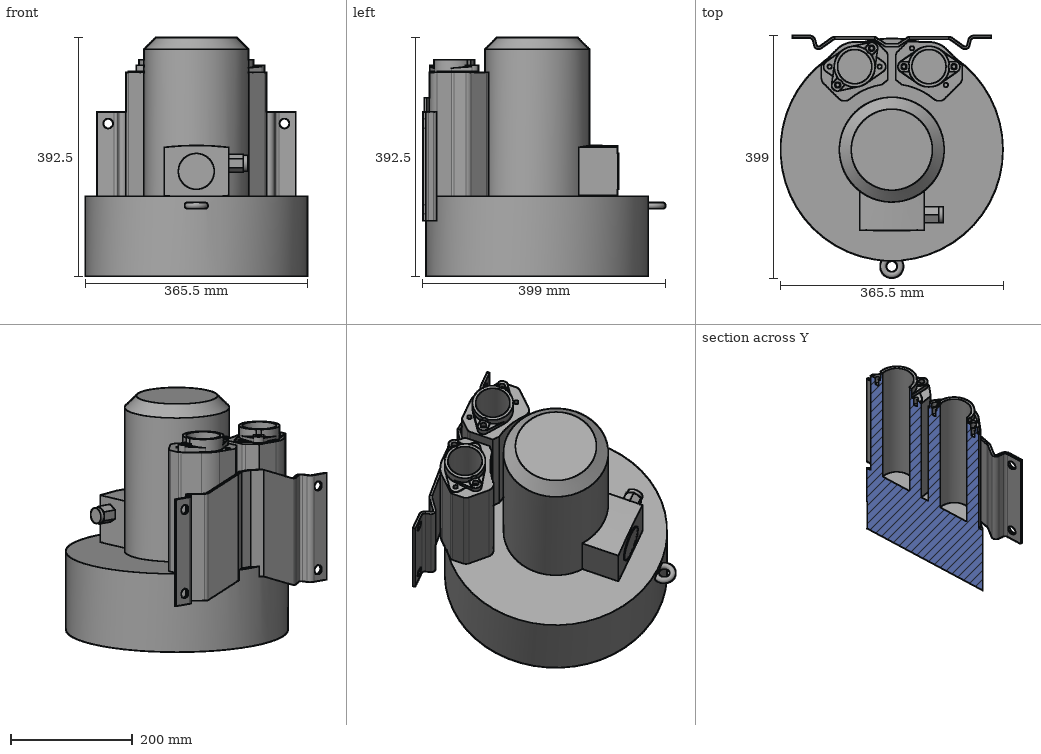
import cadquery as cq
import math


HOUSING_DIAMETER = 365.5
HOUSING_HEIGHT = 131.5
MOTOR_RADIUS = 86.0
MOTOR_TOP = 392.5
MOTOR_CHAMFER = 19.5

BOX_WIDTH = 106.0
BOX_SIDE_HEIGHT = 79.0
BOX_CROWN = 3.0
BOX_CENTRE_Z = 172.3
BOX_FRONT_Y = -132.0
COVER_DIAMETER = 59.0
COVER_THICKNESS = 1.5

GLAND_Y = -107.0
GLAND_Z = 185.5
GLAND_DIAMETER = 26.0
GLAND_HEX_LENGTH = 24.0
GLAND_COLLAR_LENGTH = 7.0

EYE_RADIUS = 14.0
EYE_WIRE_DIAMETER = 10.8
EYE_Y = -191.8
EYE_Z = 116.0

PORT_X = 61.0
PORT_Y = 136.5
TOWER_TOP = 335.0
TOWER_INNER_X = 6.8
TOWER_OUTER_X = 115.5
TOWER_BACK_RADIUS = 40.5
TOWER_BACK_CORNER_X = 25.5
TOWER_BACK_BEVEL = 18.7
TOWER_SIDE_END_Y = 112.5
TOWER_FRONT_RADIUS = 108.0
TOWER_BEVEL_START_Y = 114.5
TOWER_BEVEL_END_X = 16.5
TOWER_FRONT_FILLET = 13.0
TOWER_SIDE_FILLET = 12.0
TOWER_SHOULDER_FILLET = 6.0
TOWER_INNER_FILLET = 8.0

BORE_DIAMETER = 56.2
NECK_RADIUS = 33.5
NECK_TOP = 355.5
GASKET_THICKNESS = 1.5
LUG_DISTANCE = 41.0
LUG_RADIUS = 10.0
LUG_TOP = 347.0
LUG_PAD_WIDTH = 16.7
FLANK_RIDGE_Z = 344.0
FLANK_SLOPE = 7.0
LUG_HOLE_DIAMETER = 9.5
BOLT_CLEARANCE_DIAMETER = 18.0
TAPPED_HOLE_DIAMETER = 7.0
TAPPED_HOLE_DEPTH = 12.0
TILTED_FLANGE_ANGLE = 47.3

SHEET = 4.5
BRACKET_BOTTOM = 91.0
BRACKET_SIDE_TOP = 270.0
BRACKET_CENTRE_RISE = 23.5
BRACKET_CENTRE_TOP = BRACKET_SIDE_TOP + BRACKET_CENTRE_RISE
BRACKET_HOLE_X = 144.7
BRACKET_HOLE_INSET = 19.0
BRACKET_HOLE_DIAMETER = 15.5
WING_END_X = 163.5
WING_Y = 185.5
WING_BEND_X = 129.0
VALLEY_X = 123.5
VALLEY_Y = 163.5
PLATE_BEND_X = 95.7
PLATE_OUTER_X = 93.5
PLATE_INNER_X = 28.5
PLATE_Y = 183.5
DIP_X = 10.5
DIP_Y = 171.5
WING_BEND_RADIUS = 5.5
VALLEY_BEND_RADIUS = 3.0
PLATE_BEND_RADIUS = 6.0


def cylinder(radius, bottom, top, x=0, y=0):
    return cq.Workplane("XY", origin=(x, y, bottom)).circle(radius).extrude(top - bottom)


def mirror_x(points):
    """The same points on the -X side, in reverse order."""
    return [(-x, y) for x, y in reversed(points)]


def make_terminal_box():
    half_width = BOX_WIDTH / 2
    half_side = BOX_SIDE_HEIGHT / 2
    half_middle = half_side + BOX_CROWN
    box = (
        cq.Workplane("XZ", origin=(0, 0, BOX_CENTRE_Z))
        .moveTo(-half_width, -half_side)
        .threePointArc((0, -half_middle), (half_width, -half_side))
        .lineTo(half_width, half_side)
        .threePointArc((0, half_middle), (-half_width, half_side))
        .close()
        .extrude(-BOX_FRONT_Y)
    )
    cover = (
        cq.Workplane("XZ", origin=(0, BOX_FRONT_Y, BOX_CENTRE_Z))
        .circle(COVER_DIAMETER / 2)
        .extrude(COVER_THICKNESS)
    )
    return box.union(cover)


def make_cable_gland():
    corner_diameter = GLAND_DIAMETER / math.cos(math.pi / 6)
    nut = (
        cq.Workplane("YZ", origin=(BOX_WIDTH / 2, GLAND_Y, GLAND_Z))
        .transformed(rotate=(0, 0, 90))
        .polygon(6, corner_diameter)
        .extrude(GLAND_HEX_LENGTH)
    )
    return nut.faces(">X").workplane().circle(GLAND_DIAMETER / 2).extrude(GLAND_COLLAR_LENGTH)


def make_lifting_eye():
    ring = cq.Solid.makeTorus(EYE_RADIUS, EYE_WIRE_DIAMETER / 2, cq.Vector(0, EYE_Y, EYE_Z))
    return cq.Workplane(ring)


def make_tower():
    """Solid tower with a round back, 45 degree shoulders and a front face hollowed around the motor."""
    back_y = PORT_Y + TOWER_BACK_RADIUS
    diagonal = TOWER_BACK_RADIUS * math.sqrt(0.5)
    shoulder_y = PORT_Y + 2 * diagonal - (TOWER_OUTER_X - PORT_X)
    arc_middle = (
        PORT_X + TOWER_BACK_RADIUS * math.sin(math.pi / 8),
        PORT_Y + TOWER_BACK_RADIUS * math.cos(math.pi / 8),
    )

    offset = TOWER_OUTER_X - TOWER_SIDE_END_Y
    front_x = (offset + math.sqrt(2 * TOWER_FRONT_RADIUS**2 - offset**2)) / 2
    front_y = front_x - offset
    bevel_end_y = math.sqrt(TOWER_FRONT_RADIUS**2 - TOWER_BEVEL_END_X**2)
    middle_angle = (math.atan2(front_y, front_x) + math.atan2(bevel_end_y, TOWER_BEVEL_END_X)) / 2
    front_middle = (
        TOWER_FRONT_RADIUS * math.cos(middle_angle),
        TOWER_FRONT_RADIUS * math.sin(middle_angle),
    )
    inner_back_y = back_y - TOWER_BACK_BEVEL

    tower = (
        cq.Workplane("XY", origin=(0, 0, HOUSING_HEIGHT))
        .moveTo(TOWER_BACK_CORNER_X, back_y)
        .lineTo(PORT_X, back_y)
        .threePointArc(arc_middle, (PORT_X + diagonal, PORT_Y + diagonal))
        .lineTo(TOWER_OUTER_X, shoulder_y)
        .lineTo(TOWER_OUTER_X, TOWER_SIDE_END_Y)
        .lineTo(front_x, front_y)
        .threePointArc(front_middle, (TOWER_BEVEL_END_X, bevel_end_y))
        .lineTo(TOWER_INNER_X, TOWER_BEVEL_START_Y)
        .lineTo(TOWER_INNER_X, inner_back_y)
        .close()
        .extrude(TOWER_TOP - HOUSING_HEIGHT)
    )
    corner_fillets = [
        (TOWER_OUTER_X, shoulder_y, TOWER_SHOULDER_FILLET),
        (TOWER_OUTER_X, TOWER_SIDE_END_Y, TOWER_SIDE_FILLET),
        (front_x, front_y, TOWER_FRONT_FILLET),
        (TOWER_INNER_X, inner_back_y, TOWER_INNER_FILLET),
    ]
    return fillet_upright_edges(tower, corner_fillets, (HOUSING_HEIGHT + TOWER_TOP) / 2)


def fillet_upright_edges(body, corners, middle_z):
    for x, y, radius in corners:
        body = body.edges("|Z").edges(cq.NearestToPointSelector((x, y, middle_z))).fillet(radius)
    return body


def make_lug_plate(bottom, top):
    """Plate around the port with a pointed lug at each end of its X axis."""
    tangent = math.acos((NECK_RADIUS - LUG_RADIUS) / LUG_DISTANCE)
    middle_x = NECK_RADIUS * math.cos(tangent)
    middle_y = NECK_RADIUS * math.sin(tangent)
    end_x = LUG_DISTANCE + LUG_RADIUS * math.cos(tangent)
    end_y = LUG_RADIUS * math.sin(tangent)
    tip_x = LUG_DISTANCE + LUG_RADIUS
    return (
        cq.Workplane("XY", origin=(0, 0, bottom))
        .moveTo(middle_x, middle_y)
        .lineTo(end_x, end_y)
        .threePointArc((tip_x, 0), (end_x, -end_y))
        .lineTo(middle_x, -middle_y)
        .threePointArc((0, -NECK_RADIUS), (-middle_x, -middle_y))
        .lineTo(-end_x, -end_y)
        .threePointArc((-tip_x, 0), (-end_x, end_y))
        .lineTo(-middle_x, middle_y)
        .threePointArc((0, NECK_RADIUS), (middle_x, middle_y))
        .close()
        .extrude(top - bottom)
    )


def make_lug_cylinders(radius, bottom, top):
    return cylinder(radius, bottom, top, LUG_DISTANCE).union(cylinder(radius, bottom, top, -LUG_DISTANCE))


def make_flange():
    """Flange with sloping flanks, flat pads at the bolts and a round neck, centred on the port."""
    seat = TOWER_TOP + GASKET_THICKNESS
    reach = LUG_DISTANCE + LUG_RADIUS
    pad_half = LUG_PAD_WIDTH / 2
    eave_z = FLANK_RIDGE_Z - (NECK_RADIUS - pad_half) * math.tan(math.radians(FLANK_SLOPE))
    right_profile = [
        (NECK_RADIUS, seat),
        (NECK_RADIUS, eave_z),
        (pad_half, FLANK_RIDGE_Z),
        (pad_half, LUG_TOP),
    ]
    profile = right_profile + mirror_x(right_profile)
    envelope = cq.Workplane("YZ").polyline(profile).close().extrude(reach, both=True)
    flange = make_lug_plate(seat, LUG_TOP).intersect(envelope)
    flange = flange.union(cylinder(NECK_RADIUS, seat, NECK_TOP))
    flange = flange.cut(make_lug_cylinders(BOLT_CLEARANCE_DIAMETER / 2, LUG_TOP, NECK_TOP))
    return flange.cut(make_lug_cylinders(LUG_HOLE_DIAMETER / 2, seat, LUG_TOP))


def make_port(flange_angle):
    """Complete +X tower; the flange is turned on the gasket by the given angle."""
    centre = (PORT_X, PORT_Y, 0)
    tower_holes = make_lug_cylinders(TAPPED_HOLE_DIAMETER / 2, TOWER_TOP - TAPPED_HOLE_DEPTH, LUG_TOP)
    tilted_holes = tower_holes.rotate((0, 0, 0), (0, 0, 1), -TILTED_FLANGE_ANGLE)
    gasket = make_lug_plate(TOWER_TOP, TOWER_TOP + GASKET_THICKNESS)
    flange = make_flange().rotate((0, 0, 0), (0, 0, 1), flange_angle)

    port = make_tower().union(gasket.translate(centre))
    port = port.cut(tower_holes.translate(centre))
    port = port.cut(tilted_holes.translate(centre))
    port = port.union(flange.translate(centre))
    return port.cut(cylinder(BORE_DIAMETER / 2, HOUSING_HEIGHT, NECK_TOP, PORT_X, PORT_Y))


def offset_path(path, distance):
    """Mitred copy of an open path, moved to its left by the given distance."""
    headings = [math.atan2(y2 - y1, x2 - x1) for (x1, y1), (x2, y2) in zip(path, path[1:])]
    arriving = headings[:1] + headings
    leaving = headings + headings[-1:]
    moved = []
    for (x, y), before, after in zip(path, arriving, leaving):
        normal = (before + after) / 2 + math.pi / 2
        length = distance / math.cos((after - before) / 2)
        moved.append((x + length * math.cos(normal), y + length * math.sin(normal)))
    return moved


def make_bracket():
    left_path = [
        (-WING_END_X, WING_Y),
        (-WING_BEND_X, WING_Y),
        (-VALLEY_X, VALLEY_Y),
        (-PLATE_BEND_X, PLATE_Y),
        (-PLATE_INNER_X, PLATE_Y),
        (-DIP_X, DIP_Y),
    ]
    path = left_path + mirror_x(left_path)
    upper = offset_path(path, SHEET / 2)
    lower = offset_path(path, -SHEET / 2)
    sheet = (
        cq.Workplane("XY", origin=(0, 0, BRACKET_BOTTOM))
        .polyline(upper + lower[::-1])
        .close()
        .extrude(BRACKET_CENTRE_TOP - BRACKET_BOTTOM)
    )

    outer_wing_radius = WING_BEND_RADIUS + SHEET
    outer_valley_radius = VALLEY_BEND_RADIUS + SHEET
    outer_plate_radius = PLATE_BEND_RADIUS + SHEET
    wing, valley, plate = 1, 2, 3
    left_bends = [
        (*upper[wing], outer_wing_radius),
        (*lower[wing], WING_BEND_RADIUS),
        (*upper[valley], VALLEY_BEND_RADIUS),
        (*lower[valley], outer_valley_radius),
        (*upper[plate], outer_plate_radius),
        (*lower[plate], PLATE_BEND_RADIUS),
    ]
    bends = left_bends + [(-x, y, radius) for x, y, radius in left_bends]
    sheet = fillet_upright_edges(sheet, bends, (BRACKET_BOTTOM + BRACKET_CENTRE_TOP) / 2)

    left_top = [
        (-WING_END_X, BRACKET_SIDE_TOP),
        (-PLATE_OUTER_X, BRACKET_SIDE_TOP),
        (-PLATE_INNER_X, BRACKET_CENTRE_TOP),
    ]
    top_edge = left_top + mirror_x(left_top)
    drop = BRACKET_SIDE_TOP - BRACKET_BOTTOM
    bottom_edge = [(x, z - drop) for x, z in reversed(top_edge)]
    outline = cq.Workplane("XZ").polyline(top_edge + bottom_edge).close()
    sheet = sheet.intersect(outline.extrude(-WING_Y - SHEET))

    hole_heights = [BRACKET_BOTTOM + BRACKET_HOLE_INSET, BRACKET_SIDE_TOP - BRACKET_HOLE_INSET]
    hole_places = [(x, z) for x in (-BRACKET_HOLE_X, BRACKET_HOLE_X) for z in hole_heights]
    holes = cq.Workplane("XZ").pushPoints(hole_places).circle(BRACKET_HOLE_DIAMETER / 2)
    return sheet.cut(holes.extrude(-WING_Y - SHEET))


housing = cylinder(HOUSING_DIAMETER / 2, 0, HOUSING_HEIGHT)
motor = cylinder(MOTOR_RADIUS, HOUSING_HEIGHT, MOTOR_TOP).faces(">Z").chamfer(MOTOR_CHAMFER)
right_port = make_port(0)
left_port = make_port(-TILTED_FLANGE_ANGLE).mirror("YZ")

result = housing.union(motor)
for component in (
    make_terminal_box(),
    make_cable_gland(),
    make_lifting_eye(),
    right_port,
    left_port,
    make_bracket(),
):
    result = result.union(component)